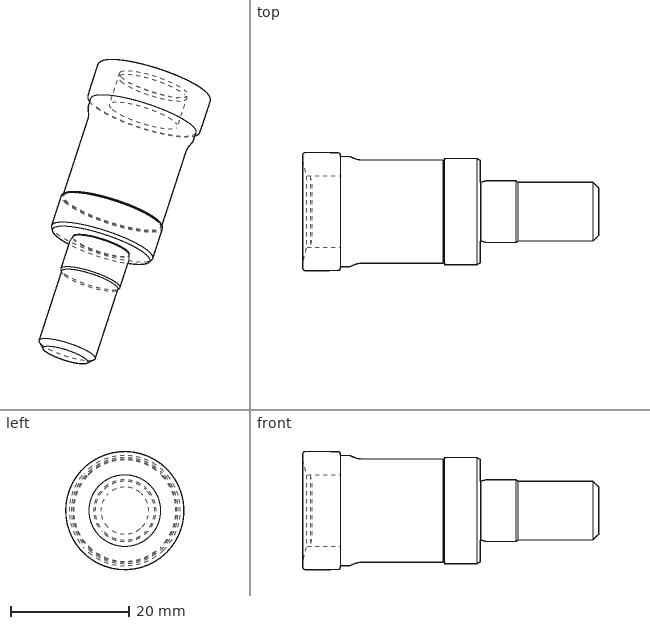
import cadquery as cq
import math


CAP_DIAMETER = 20.0
CAP_REAR_DIAMETER = 19.9
CAP_LENGTH = 6.35
CAP_TAPER_START = 4.4
CAP_FRONT_EDGE = 0.45
CAP_REAR_EDGE = 0.3
DISH_DIAMETER = 17.1
DISH_DEPTH = 0.65
BORE_DIAMETER = 12.1

NOSE_RECESS = 1.3
NOSE_RIM_DIAMETER = 11.7
FLOOR_DIAMETER = 9.5
FLOOR_DEPTH = 1.55

SHOULDER_DIAMETER = 18.7
SHOULDER_END = 7.7
BARREL_DIAMETER = 17.5
BARREL_START = 9.95
NECK_ANGLE = math.radians(25)
NECK_OUTER_RADIUS = 1.05
NECK_INNER_RADIUS = 3.2

GROOVE_DIAMETER = 17.2
GROOVE_WIDTH = 0.25
COLLAR_DIAMETER = 18.0
COLLAR_START = 23.95
COLLAR_END = 30.0
COLLAR_CHAMFER_LENGTH = 0.6
COLLAR_CHAMFER_HEIGHT = 0.35

UNDERCUT_END = 30.15
RELIEF_DIAMETER = 10.1
RELIEF_START = 30.3
PILOT_DIAMETER = 10.5
PILOT_START = 31.05
PILOT_END = 36.0
SHANK_DIAMETER = 10.0
SHANK_START = 36.35
TOTAL_LENGTH = 50.0
END_CHAMFER = 1.0


def revolve_about_x(profile):
    return profile.close().revolve(360, (0, 0, 0), (1, 0, 0))


def make_cap():
    """Tapered ring with rounded outer edges and a conical dish around its bore."""
    front_radius = CAP_DIAMETER / 2
    rear_radius = CAP_REAR_DIAMETER / 2
    bore_radius = BORE_DIAMETER / 2
    profile = (
        cq.Workplane("XY")
        .moveTo(DISH_DEPTH, bore_radius)
        .lineTo(0, DISH_DIAMETER / 2)
        .lineTo(0, front_radius - CAP_FRONT_EDGE)
        .radiusArc((CAP_FRONT_EDGE, front_radius), CAP_FRONT_EDGE)
        .lineTo(CAP_TAPER_START, front_radius)
        .lineTo(CAP_LENGTH - CAP_REAR_EDGE, rear_radius)
        .radiusArc((CAP_LENGTH, rear_radius - CAP_REAR_EDGE), CAP_REAR_EDGE)
        .lineTo(CAP_LENGTH, bore_radius)
    )
    return revolve_about_x(profile)


def make_spindle():
    """Nose, shoulder, barrel, collar and shank turned as one piece."""
    shoulder_radius = SHOULDER_DIAMETER / 2
    barrel_radius = BARREL_DIAMETER / 2
    collar_radius = COLLAR_DIAMETER / 2
    shank_radius = SHANK_DIAMETER / 2

    run = math.sin(NECK_ANGLE)
    drop = 1 - math.cos(NECK_ANGLE)
    cone_start = (SHOULDER_END + NECK_OUTER_RADIUS * run, shoulder_radius - NECK_OUTER_RADIUS * drop)
    cone_end = (BARREL_START - NECK_INNER_RADIUS * run, barrel_radius + NECK_INNER_RADIUS * drop)

    profile = (
        cq.Workplane("XY")
        .moveTo(FLOOR_DEPTH, 0)
        .lineTo(FLOOR_DEPTH, FLOOR_DIAMETER / 2)
        .lineTo(NOSE_RECESS, NOSE_RIM_DIAMETER / 2)
        .lineTo(NOSE_RECESS, BORE_DIAMETER / 2)
        .lineTo(CAP_LENGTH, BORE_DIAMETER / 2)
        .lineTo(CAP_LENGTH, shoulder_radius)
        .lineTo(SHOULDER_END, shoulder_radius)
        .radiusArc(cone_start, NECK_OUTER_RADIUS)
        .lineTo(*cone_end)
        .radiusArc((BARREL_START, barrel_radius), -NECK_INNER_RADIUS)
        .lineTo(COLLAR_START - GROOVE_WIDTH, barrel_radius)
        .lineTo(COLLAR_START - GROOVE_WIDTH / 2, GROOVE_DIAMETER / 2)
        .lineTo(COLLAR_START, barrel_radius)
        .lineTo(COLLAR_START, collar_radius)
        .lineTo(COLLAR_END - COLLAR_CHAMFER_LENGTH, collar_radius)
        .lineTo(COLLAR_END, collar_radius - COLLAR_CHAMFER_HEIGHT)
        .lineTo(COLLAR_END, shank_radius)
        .lineTo(UNDERCUT_END, shank_radius)
        .lineTo(RELIEF_START, RELIEF_DIAMETER / 2)
        .lineTo(PILOT_START, PILOT_DIAMETER / 2)
        .lineTo(PILOT_END, PILOT_DIAMETER / 2)
        .lineTo(SHANK_START, shank_radius)
        .lineTo(TOTAL_LENGTH - END_CHAMFER, shank_radius)
        .lineTo(TOTAL_LENGTH, shank_radius - END_CHAMFER)
        .lineTo(TOTAL_LENGTH, 0)
    )
    return revolve_about_x(profile)


cap = make_cap()
spindle = make_spindle()
result = cq.Compound.makeCompound([cap.val(), spindle.val()])